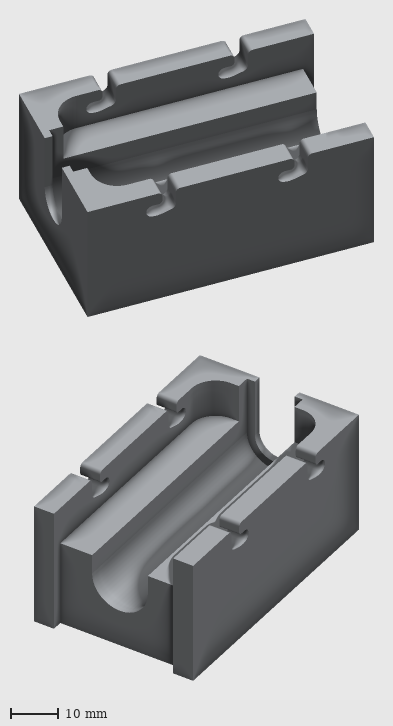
import cadquery as cq
import math

WIDTH = 40.0
LENGTH = 65.1
HEIGHT = 30.0

WALL = 5.0
POCKET_FRONT = 5.0
POCKET_DEPTH = 9.2
POCKET_CORNER_R = 6.0
REAR_RECESS = 2.5

CHANNEL_R = 7.0
SLOT_R = 5.0
AXIS_Z = 16.0
CHANNEL_FRONT = 1.8

NOTCH_REAR = 50.1
NOTCH_PITCH = 30.0
NOTCH_COUNT = 2
NOTCH_WIDTH = 3.1
MOUTH_R = 1.0
LIP_R = 0.8
LIP_DEPTH = 3.05
CORNER_R = 1.5
CORNER_DEPTH = 4.0
RAMP_ANGLE = math.radians(15)
TIP_R = 1.5
TIP_REACH = 5.25

POCKET_FLOOR = HEIGHT - POCKET_DEPTH
POCKET_WIDTH = WIDTH - 2 * WALL


def box(width, y_start, y_end, z_start, z_end):
    """Box centred in X between the given Y and Z limits."""
    base = cq.Workplane("XY").box(width, y_end - y_start, z_end - z_start, centered=(True, False, False))
    return base.translate((0, y_start, z_start))


def round_bottom_slot(radius, y_start, y_end):
    """Upright slot with a half-round bottom, open at the top of the block."""
    profile = (
        cq.Workplane("XZ", origin=(0, y_start, 0))
        .moveTo(-radius, HEIGHT)
        .lineTo(-radius, AXIS_Z)
        .threePointArc((0, AXIS_Z - radius), (radius, AXIS_Z))
        .lineTo(radius, HEIGHT)
        .close()
    )
    return profile.extrude(y_start - y_end)


def pocket():
    """Main pocket with rounded front corners."""
    body = box(POCKET_WIDTH, POCKET_FRONT, LENGTH, POCKET_FLOOR, HEIGHT)
    return body.faces("<Y").edges("|Z").fillet(POCKET_CORNER_R)


def hooked_notch(rear_y):
    """Notch that enters from the top and hooks toward the front, cut across both walls."""

    def at(reach, depth):
        return (rear_y - reach, HEIGHT - depth)

    sin_ramp = math.sin(RAMP_ANGLE)
    cos_ramp = math.cos(RAMP_ANGLE)

    corner_mid_angle = (math.pi / 2 - RAMP_ANGLE) / 2
    corner_mid = (
        CORNER_R * (1 - math.cos(corner_mid_angle)),
        CORNER_DEPTH + CORNER_R * math.sin(corner_mid_angle),
    )
    corner_end = (CORNER_R * (1 - sin_ramp), CORNER_DEPTH + CORNER_R * cos_ramp)

    tip_depth = LIP_DEPTH + TIP_R
    tip_low = (TIP_REACH + TIP_R * sin_ramp, tip_depth + TIP_R * cos_ramp)
    ramp_end = (corner_end[0] + (tip_low[1] - corner_end[1]) / math.tan(RAMP_ANGLE), tip_low[1])

    floor_half = (tip_low[0] - ramp_end[0]) / 2
    floor_r = floor_half / sin_ramp
    floor_mid = (ramp_end[0] + floor_half, tip_low[1] + floor_r * (1 - cos_ramp))

    arc_bulge = 1 - math.cos(math.pi / 4)
    profile = (
        cq.Workplane("YZ", origin=(-WIDTH / 2, 0, 0))
        .moveTo(*at(-MOUTH_R, 0))
        .threePointArc(at(-MOUTH_R * arc_bulge, MOUTH_R * arc_bulge), at(0, MOUTH_R))
        .lineTo(*at(0, CORNER_DEPTH))
        .threePointArc(at(*corner_mid), at(*corner_end))
        .lineTo(*at(*ramp_end))
        .threePointArc(at(*floor_mid), at(*tip_low))
        .threePointArc(at(TIP_REACH + TIP_R, tip_depth), at(TIP_REACH, LIP_DEPTH))
        .lineTo(*at(NOTCH_WIDTH + LIP_R, LIP_DEPTH))
        .threePointArc(
            at(NOTCH_WIDTH + LIP_R * arc_bulge, LIP_DEPTH - LIP_R * arc_bulge),
            at(NOTCH_WIDTH, LIP_DEPTH - LIP_R),
        )
        .lineTo(*at(NOTCH_WIDTH, MOUTH_R))
        .threePointArc(
            at(NOTCH_WIDTH + MOUTH_R * arc_bulge, MOUTH_R * arc_bulge),
            at(NOTCH_WIDTH + MOUTH_R, 0),
        )
        .close()
    )
    return profile.extrude(WIDTH)


result = box(WIDTH, 0, LENGTH, 0, HEIGHT)
result = result.cut(pocket())
result = result.cut(box(POCKET_WIDTH, LENGTH - REAR_RECESS, LENGTH, 0, HEIGHT))
result = result.cut(round_bottom_slot(CHANNEL_R, CHANNEL_FRONT, LENGTH))
result = result.cut(round_bottom_slot(SLOT_R, 0, CHANNEL_FRONT))
for index in range(NOTCH_COUNT):
    result = result.cut(hooked_notch(NOTCH_REAR - index * NOTCH_PITCH))